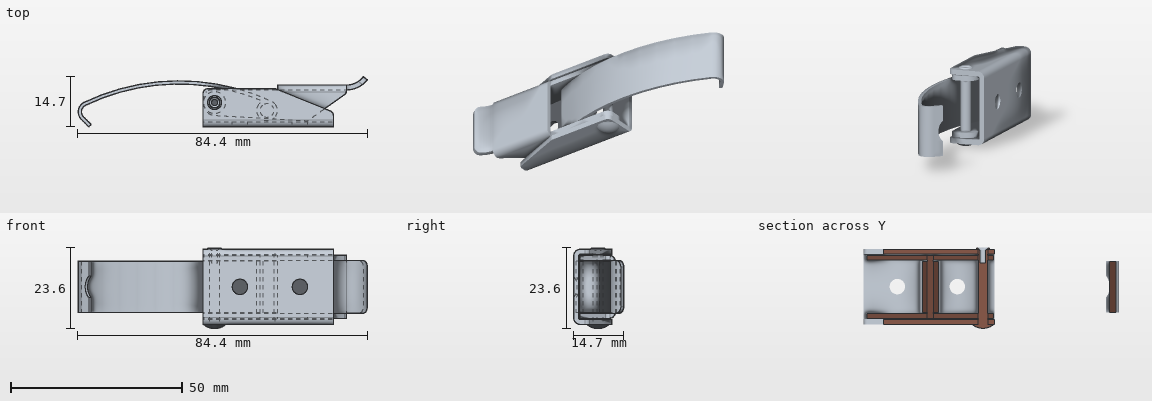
import cadquery as cq
import math


HOUSING_LENGTH = 38.1
HOUSING_HEIGHT = 11.2
HOUSING_WIDTH = 22.0
SHEET = 1.5
BEND_RADIUS = 2.0
INNER_BEND_RADIUS = BEND_RADIUS - SHEET
HOUSING_CORNER_RADIUS = 1.5
RAMP_START = 21.0
HOUSING_TAIL_HEIGHT = 4.3
MOUNT_HOLE_DIAMETER = 4.5
MOUNT_HOLE_POSITIONS = (10.8, 28.3)

PIVOT_X = 3.4
PIVOT_Y = 7.1
PIVOT_RADIUS = 1.5
RIM_HEIGHT = 0.4
RIM_RADIUS = 2.05
RIM_CREST_RADIUS = RIM_RADIUS - RIM_HEIGHT
RIVET_BORE_RADIUS = 0.9
RIVET_BORE_DEPTH = 4.0
HEAD_RADIUS = 3.2
HEAD_HEIGHT = 1.2

LEVER_WIDTH = 18.5
LEVER_INNER_WIDTH = LEVER_WIDTH - 2 * SHEET
LEVER_TOP = 12.25
LEVER_FLANGE_TOP = LEVER_TOP - SHEET
LEVER_NOSE_X = 0.3
NOSE_TOP_RADIUS = 2.0
NOSE_BOTTOM_RADIUS = 3.3
NOSE_BOTTOM_Y = 3.3
WEB_START = 21.8
WEB_END = 41.9
LEVER_HEEL_X = 30.5
LEVER_HEEL_Y = 1.75
LEVER_TAIL_Y = 9.8
LEVER_TAIL_RADIUS = 1.5

TAB_INNER_RADIUS = 6.1
TAB_ANGLE = 53.0
TAB_CORNER_RADIUS = 2.0

STRAP_WIDTH = 15.0
STRAP_THICKNESS = 1.0
ARCH_RADIUS = 64.0
ARCH_TOP_X = -7.0
ARCH_TOP_Y = 13.47
HOOK_RADIUS = 3.1
HOOK_END_X = -36.4
HOOK_TIP_ANGLE = 45.0
NOTCH_RADIUS = 4.0
NOTCH_DEPTH = 1.5
EYE_RADIUS = 3.0
EYE_X = 18.7

ARCH_CENTRE = (ARCH_TOP_X, ARCH_TOP_Y - ARCH_RADIUS)


def centre_inside_arch(x, radius):
    """Centre, at the given X, of a circle that touches the arch's outer arc from inside."""
    reach = ARCH_RADIUS - radius
    rise = math.sqrt(reach**2 - (x - ARCH_CENTRE[0]) ** 2)
    return (x, ARCH_CENTRE[1] + rise)


HOOK_CENTRE = centre_inside_arch(HOOK_END_X + HOOK_RADIUS, HOOK_RADIUS)
EYE_CENTRE = centre_inside_arch(EYE_X, EYE_RADIUS)
LINK_PIN_RADIUS = EYE_RADIUS - STRAP_THICKNESS


def polar(centre, radius, degrees):
    angle = math.radians(degrees)
    return (centre[0] + radius * math.cos(angle), centre[1] + radius * math.sin(angle))


def arc_to(outline, centre, radius, middle_angle, end_angle):
    """Continue an outline along an arc through its middle angle to its end angle, in degrees."""
    return outline.threePointArc(polar(centre, radius, middle_angle), polar(centre, radius, end_angle))


def direction(start, end):
    """Angle in degrees of the line from start to end."""
    return math.degrees(math.atan2(end[1] - start[1], end[0] - start[0]))


def extrude_across(outline, width):
    """Solid of an XY outline, centred on Z = 0."""
    return outline.extrude(width / 2, both=True)


def cylinder_across(centre, radius, width):
    return extrude_across(cq.Workplane("XY").center(*centre).circle(radius), width)


def block(x_start, x_end, y_start, y_end, width):
    outline = cq.Workplane("XY").moveTo(x_start, y_start).lineTo(x_end, y_start)
    return extrude_across(outline.lineTo(x_end, y_end).lineTo(x_start, y_end).close(), width)


def round_corner(solid, x, y, radius):
    """Fillet the edge along Z that passes through (x, y)."""
    corner = cq.selectors.NearestToPointSelector((x, y, 0))
    return solid.edges("|Z").edges(corner).fillet(radius)


def make_housing():
    channel = block(0, HOUSING_LENGTH, 0, HOUSING_HEIGHT, HOUSING_WIDTH)
    channel = channel.faces("<Y").edges("|X").fillet(BEND_RADIUS)
    inside = block(0, HOUSING_LENGTH, SHEET, HOUSING_HEIGHT, HOUSING_WIDTH - 2 * SHEET)
    inside = inside.faces("<Y").edges("|X").fillet(INNER_BEND_RADIUS)
    side = (
        cq.Workplane("XY")
        .lineTo(HOUSING_LENGTH, 0)
        .lineTo(HOUSING_LENGTH, HOUSING_TAIL_HEIGHT)
        .lineTo(RAMP_START, HOUSING_HEIGHT)
        .lineTo(0, HOUSING_HEIGHT)
        .close()
    )
    side = extrude_across(side, HOUSING_WIDTH)
    side = round_corner(side, HOUSING_LENGTH, HOUSING_TAIL_HEIGHT, HOUSING_CORNER_RADIUS)
    side = round_corner(side, 0, HOUSING_HEIGHT, HOUSING_CORNER_RADIUS)
    mount_holes = (
        cq.Workplane("XZ")
        .pushPoints([(x, 0) for x in MOUNT_HOLE_POSITIONS])
        .circle(MOUNT_HOLE_DIAMETER / 2)
        .extrude(-BEND_RADIUS)
    )
    pivot_hole = cylinder_across((PIVOT_X, PIVOT_Y), PIVOT_RADIUS, HOUSING_WIDTH)
    return channel.cut(inside).intersect(side).cut(mount_holes).cut(pivot_hole)


def lever_side():
    """Side outline of the lever's flanges and web as a solid block."""
    nose_centre = (LEVER_NOSE_X + NOSE_BOTTOM_RADIUS, NOSE_BOTTOM_Y + NOSE_BOTTOM_RADIUS)
    top_centre = (LEVER_NOSE_X + NOSE_TOP_RADIUS, LEVER_FLANGE_TOP - NOSE_TOP_RADIUS)
    heel = (LEVER_HEEL_X, LEVER_HEEL_Y)
    heel_distance = math.dist(nose_centre, heel)
    tangent_offset = math.degrees(math.acos(NOSE_BOTTOM_RADIUS / heel_distance))
    tangent_angle = direction(nose_centre, heel) - tangent_offset
    outline = (
        cq.Workplane("XY")
        .moveTo(WEB_END, LEVER_TOP)
        .lineTo(WEB_START, LEVER_TOP)
        .lineTo(WEB_START, LEVER_FLANGE_TOP)
        .lineTo(top_centre[0], LEVER_FLANGE_TOP)
    )
    outline = arc_to(outline, top_centre, NOSE_TOP_RADIUS, 135, 180)
    outline = outline.lineTo(LEVER_NOSE_X, nose_centre[1])
    nose_middle = (tangent_angle - 180) / 2
    outline = arc_to(outline, nose_centre, NOSE_BOTTOM_RADIUS, nose_middle, tangent_angle)
    outline = outline.lineTo(*heel).lineTo(WEB_END, LEVER_TAIL_Y).close()
    side = extrude_across(outline, LEVER_WIDTH)
    return round_corner(side, WEB_END, LEVER_TAIL_Y, LEVER_TAIL_RADIUS)


def make_tab():
    centre = (WEB_END, LEVER_TOP + TAB_INNER_RADIUS)
    outer_radius = TAB_INNER_RADIUS + SHEET
    end_angle = TAB_ANGLE - 90
    end_tangent = cq.Vector(*polar((0, 0), 1, TAB_ANGLE))
    middle_angle = TAB_ANGLE / 2 - 90
    outline = cq.Workplane("XY").moveTo(WEB_END, LEVER_TOP)
    outline = arc_to(outline, centre, TAB_INNER_RADIUS, middle_angle, end_angle)
    outline = outline.lineTo(*polar(centre, outer_radius, end_angle))
    outline = arc_to(outline, centre, outer_radius, middle_angle, -90).close()
    tab = extrude_across(outline, LEVER_INNER_WIDTH)
    end_face = tab.faces(cq.selectors.DirectionMinMaxSelector(end_tangent, True))
    return end_face.edges("not |Z").fillet(TAB_CORNER_RADIUS)


def make_lever():
    channel = block(LEVER_NOSE_X, WEB_END, LEVER_HEEL_Y, LEVER_TOP, LEVER_WIDTH)
    channel = channel.faces(">Y").edges("|X").fillet(BEND_RADIUS)
    inside = block(LEVER_NOSE_X, WEB_END, LEVER_HEEL_Y, LEVER_FLANGE_TOP, LEVER_INNER_WIDTH)
    lever = channel.cut(inside).intersect(lever_side()).union(make_tab())
    pivot_hole = cylinder_across((PIVOT_X, PIVOT_Y), PIVOT_RADIUS, LEVER_WIDTH)
    link_hole = cylinder_across(EYE_CENTRE, LINK_PIN_RADIUS, LEVER_WIDTH)
    return lever.cut(pivot_hole).cut(link_hole)


def make_strap():
    inner_arch = ARCH_RADIUS - STRAP_THICKNESS
    inner_hook = HOOK_RADIUS - STRAP_THICKNESS
    hook_join = direction(ARCH_CENTRE, HOOK_CENTRE)
    eye_join = direction(ARCH_CENTRE, EYE_CENTRE)
    tip_normal = 180 + HOOK_TIP_ANGLE
    hook_middle = (hook_join + tip_normal) / 2
    arch_middle = (hook_join + eye_join) / 2
    lip_start = polar(HOOK_CENTRE, HOOK_RADIUS, tip_normal)
    lip_length = lip_start[1] / math.sin(math.radians(HOOK_TIP_ANGLE))
    lip_end = polar(lip_start, lip_length, -HOOK_TIP_ANGLE)
    outline = cq.Workplane("XY").moveTo(*lip_end).lineTo(*lip_start)
    outline = arc_to(outline, HOOK_CENTRE, HOOK_RADIUS, hook_middle, hook_join)
    outline = arc_to(outline, ARCH_CENTRE, ARCH_RADIUS, arch_middle, eye_join)
    outline = outline.lineTo(*polar(ARCH_CENTRE, inner_arch, eye_join))
    outline = arc_to(outline, ARCH_CENTRE, inner_arch, arch_middle, hook_join)
    outline = arc_to(outline, HOOK_CENTRE, inner_hook, hook_middle, tip_normal)
    outline = outline.lineTo(*polar(lip_end, STRAP_THICKNESS, HOOK_TIP_ANGLE)).close()
    eye = cylinder_across(EYE_CENTRE, EYE_RADIUS, STRAP_WIDTH)
    eye_hole = cylinder_across(EYE_CENTRE, LINK_PIN_RADIUS, STRAP_WIDTH)
    notch_centre = polar(lip_end, NOTCH_RADIUS - NOTCH_DEPTH, -HOOK_TIP_ANGLE)
    lip_normal = polar((0, 0), 1, HOOK_TIP_ANGLE)
    notch_plane = cq.Plane(origin=(*notch_centre, 0), xDir=(0, 0, 1), normal=(*lip_normal, 0))
    notch = cq.Workplane(notch_plane).circle(NOTCH_RADIUS).extrude(STRAP_THICKNESS)
    return extrude_across(outline, STRAP_WIDTH).union(eye).cut(eye_hole).cut(notch)


def make_pivot_pin():
    """Turned rivet with a domed head below and a rounded, countersunk tubular rim above."""
    face = HOUSING_WIDTH / 2
    crest_height = face + RIM_HEIGHT
    bore_mouth_height = crest_height - (RIM_CREST_RADIUS - RIVET_BORE_RADIUS)
    rim_middle = polar((RIM_CREST_RADIUS, face), RIM_HEIGHT, 45)
    head_sphere = (HEAD_RADIUS**2 + HEAD_HEIGHT**2) / (2 * HEAD_HEIGHT)
    dome_middle_angle = -90 + math.degrees(math.asin(HEAD_RADIUS / head_sphere)) / 2
    dome_centre = (0, -face - HEAD_HEIGHT + head_sphere)
    profile = (
        cq.Workplane("XZ")
        .moveTo(0, -face - HEAD_HEIGHT)
        .threePointArc(polar(dome_centre, head_sphere, dome_middle_angle), (HEAD_RADIUS, -face))
        .lineTo(PIVOT_RADIUS, -face)
        .lineTo(PIVOT_RADIUS, face)
        .lineTo(RIM_RADIUS, face)
        .threePointArc(rim_middle, (RIM_CREST_RADIUS, crest_height))
        .lineTo(RIVET_BORE_RADIUS, bore_mouth_height)
        .lineTo(RIVET_BORE_RADIUS, face - RIVET_BORE_DEPTH)
        .lineTo(0, face - RIVET_BORE_DEPTH)
        .close()
    )
    return profile.revolve(360, (0, 0), (0, 1)).translate((PIVOT_X, PIVOT_Y, 0))


def make_link_pin():
    return cylinder_across(EYE_CENTRE, LINK_PIN_RADIUS, LEVER_WIDTH)


housing = make_housing()
lever = make_lever()
strap = make_strap()
pivot_pin = make_pivot_pin()
link_pin = make_link_pin()

result = cq.Compound.makeCompound(
    [housing.val(), lever.val(), strap.val(), pivot_pin.val(), link_pin.val()]
)